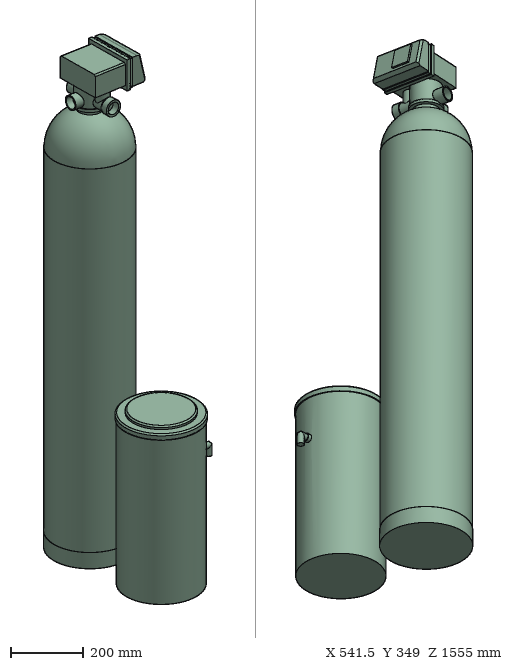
import cadquery as cq
BASE_DIA = 258.0
BASE_HEIGHT = 51.0
SHELL_DIA = 257.0
DOME_DIA = 255.0
DOME_Z = 1260.0
NECK_DIA = 76.0

HEAD_ANGLE = 8.0
FLANGE_DIA = 100.0
FLANGE_Z = 1395.0
FLANGE_THICKNESS = 10.0
VALVE_DIA = 92.0
PORT_DIA = 45.0
PORT_BORE_DIA = 37.0
PORT_BORE_DEPTH = 23.0
PORT_Z = 1424.0
SIDE_PORT_REACH = 75.0
FRONT_PORT_REACH = 70.0
TEE_LEG_DIA = 44.0
TEE_OFFSET = 55.0
TEE_PORT_REACH = 101.0
TEE_COLLAR_DIA = 51.0
TEE_COLLAR_LENGTH = 23.0

BOX_CENTER_X = 14.0
BOX_WIDTH = 151.0
BOX_FRONT_Y = -56.0
BOX_BACK_Y = 53.0
BOX_BOTTOM_Z = 1472.0
BOX_TOP_Z = 1543.0
BOX_CHAMFER = 5.0
HEAD_TOP_Z = 1555.0
PLATE_BOTTOM_Z = 1458.0
PLATE_WIDTH = 165.0
PLATE_THICKNESS = 12.0
SPACER_THICKNESS = 10.0
SPACER_INSET = 3.0
HOUSING_WIDTH = 162.0
HOUSING_BOTTOM_Z = 1464.0
BEVEL_START_Y = 90.0
FACE_TOP_Y = 106.0
FACE_TOP_Z = 1553.0
FACE_BOTTOM_Y = 125.0
FACE_BOTTOM_Z = 1473.0
FACE_SIDE_CHAMFER = 6.0
UNDERSIDE_END_Y = 114.0
WINDOW_LEFT_X = -35.0
WINDOW_WIDTH = 56.0
WINDOW_BOTTOM_Z = 1483.0
WINDOW_TOP_Z = 1545.0
WINDOW_RAISE = 6.0

BRINE_X = 284.0
BRINE_Y = 55.0
BRINE_DIA = 250.0
LID_DIA = 257.0
LID_Z = 520.0
LID_THICKNESS = 19.0
LID_CHAMFER = 5.0
PANEL_DIA = 200.0
PANEL_HEIGHT = 11.0
PANEL_CHAMFER = 5.0

ELBOW_Z = 390.0
ELBOW_BOTTOM_Z = 360.0
ELBOW_REACH = 165.0
ELBOW_DIA = 20.0
ELBOW_CORNER_CUT = 8.0
COLLAR_DIA = 25.0
COLLAR_LENGTH = 11.0


def upright(dia, z_bottom, z_top, x=0, y=0):
    """Vertical cylinder between two heights."""
    return cq.Workplane("XY", origin=(x, y, z_bottom)).circle(dia / 2).extrude(z_top - z_bottom)


def along_x(dia, x_start, x_end, z):
    """Cylinder parallel to X."""
    return cq.Workplane("YZ", origin=(x_start, 0, z)).circle(dia / 2).extrude(x_end - x_start)


def along_y(dia, y_start, y_end, x, z):
    """Cylinder parallel to Y."""
    return cq.Workplane("XZ", origin=(x, y_start, z)).circle(dia / 2).extrude(y_start - y_end)


def block(width, y_start, y_end, z_bottom, z_top):
    """Block centred across the control box."""
    return (
        cq.Workplane("XY", origin=(BOX_CENTER_X, (y_start + y_end) / 2, z_bottom))
        .rect(width, y_end - y_start)
        .extrude(z_top - z_bottom)
    )


def make_tank_shell():
    base = upright(BASE_DIA, 0, BASE_HEIGHT)
    shell = upright(SHELL_DIA, BASE_HEIGHT, DOME_Z)
    dome = cq.Workplane("XY", origin=(0, 0, DOME_Z)).sphere(DOME_DIA / 2)
    neck = upright(NECK_DIA, DOME_Z, FLANGE_Z)
    return base.union(shell).union(dome).union(neck)


def make_valve_body():
    """Round valve body with three ports and a tee leg, on the tank flange."""
    flange_top = FLANGE_Z + FLANGE_THICKNESS
    side_bore_end = PORT_BORE_DEPTH - SIDE_PORT_REACH
    front_bore_end = PORT_BORE_DEPTH - FRONT_PORT_REACH
    tee_bore_start = TEE_PORT_REACH - PORT_BORE_DEPTH
    collar_start = TEE_PORT_REACH - TEE_COLLAR_LENGTH

    body = upright(FLANGE_DIA, FLANGE_Z, flange_top)
    body = body.union(upright(VALVE_DIA, flange_top, BOX_BOTTOM_Z))
    body = body.union(upright(TEE_LEG_DIA, PORT_Z, BOX_BOTTOM_Z, x=TEE_OFFSET))
    body = body.union(along_x(PORT_DIA, -SIDE_PORT_REACH, TEE_PORT_REACH, PORT_Z))
    body = body.union(along_x(TEE_COLLAR_DIA, collar_start, TEE_PORT_REACH, PORT_Z))
    body = body.union(along_y(PORT_DIA, -FRONT_PORT_REACH, 0, 0, PORT_Z))

    body = body.cut(along_x(PORT_BORE_DIA, -SIDE_PORT_REACH, side_bore_end, PORT_Z))
    body = body.cut(along_x(PORT_BORE_DIA, tee_bore_start, TEE_PORT_REACH, PORT_Z))
    return body.cut(along_y(PORT_BORE_DIA, -FRONT_PORT_REACH, front_bore_end, 0, PORT_Z))


def face_y(z):
    """Local Y of the sloped display face at a height."""
    slope = (FACE_BOTTOM_Y - FACE_TOP_Y) / (FACE_TOP_Z - FACE_BOTTOM_Z)
    return FACE_TOP_Y + slope * (FACE_TOP_Z - z)


def make_display_housing(start_y):
    """Housing with a sloped face, bevelled edges and a raised window."""
    housing = (
        cq.Workplane("YZ", origin=(BOX_CENTER_X - HOUSING_WIDTH / 2, 0, 0))
        .polyline([
            (start_y, HOUSING_BOTTOM_Z),
            (UNDERSIDE_END_Y, HOUSING_BOTTOM_Z),
            (FACE_BOTTOM_Y, FACE_BOTTOM_Z),
            (FACE_TOP_Y, FACE_TOP_Z),
            (BEVEL_START_Y, HEAD_TOP_Z),
            (start_y, HEAD_TOP_Z),
        ])
        .close()
        .extrude(HOUSING_WIDTH)
    )
    face_direction = cq.Vector(0, FACE_TOP_Y - FACE_BOTTOM_Y, FACE_TOP_Z - FACE_BOTTOM_Z)
    face_sides = cq.selectors.ParallelDirSelector(face_direction)
    housing = housing.edges(face_sides).chamfer(FACE_SIDE_CHAMFER)

    window = (
        cq.Workplane("YZ", origin=(WINDOW_LEFT_X, 0, 0))
        .polyline([
            (BEVEL_START_Y, WINDOW_BOTTOM_Z),
            (face_y(WINDOW_BOTTOM_Z) + WINDOW_RAISE, WINDOW_BOTTOM_Z),
            (face_y(WINDOW_TOP_Z) + WINDOW_RAISE, WINDOW_TOP_Z),
            (BEVEL_START_Y, WINDOW_TOP_Z),
        ])
        .close()
        .extrude(WINDOW_WIDTH)
    )
    return housing.union(window)


def make_control_box():
    """Cover box, back plate, inset spacer and display housing, front to back."""
    spacer_y = BOX_BACK_Y + PLATE_THICKNESS
    housing_y = spacer_y + SPACER_THICKNESS
    spacer_width = PLATE_WIDTH - 2 * SPACER_INSET
    spacer_bottom = PLATE_BOTTOM_Z + SPACER_INSET
    spacer_top = HEAD_TOP_Z - SPACER_INSET

    box = block(BOX_WIDTH, BOX_FRONT_Y, BOX_BACK_Y, BOX_BOTTOM_Z, BOX_TOP_Z)
    box = box.faces(">Z").edges("|Y").chamfer(BOX_CHAMFER)
    box = box.union(block(PLATE_WIDTH, BOX_BACK_Y, spacer_y, PLATE_BOTTOM_Z, HEAD_TOP_Z))
    box = box.union(block(spacer_width, spacer_y, housing_y, spacer_bottom, spacer_top))
    return box.union(make_display_housing(housing_y))


def make_resin_tank():
    head = make_valve_body().union(make_control_box())
    head = head.rotate((0, 0, 0), (0, 0, 1), HEAD_ANGLE)
    return make_tank_shell().union(head)


def make_overflow_elbow():
    """Mitred tube with a wall collar, turning down into a drop leg."""
    outer_y = BRINE_Y + ELBOW_REACH
    outer_z = ELBOW_Z + ELBOW_DIA / 2
    leg_y = outer_y - ELBOW_DIA / 2
    collar_end_y = BRINE_Y + BRINE_DIA / 2 + COLLAR_LENGTH

    arm = along_y(ELBOW_DIA, BRINE_Y, leg_y, BRINE_X, ELBOW_Z)
    leg = upright(ELBOW_DIA, ELBOW_BOTTOM_Z, ELBOW_Z, BRINE_X, leg_y)
    corner = along_y(ELBOW_DIA, BRINE_Y, outer_y, BRINE_X, ELBOW_Z).intersect(
        upright(ELBOW_DIA, ELBOW_BOTTOM_Z, outer_z, BRINE_X, leg_y)
    )
    corner_cut = (
        cq.Workplane("YZ", origin=(BRINE_X - ELBOW_DIA / 2, 0, 0))
        .polyline([
            (outer_y, outer_z),
            (outer_y - ELBOW_CORNER_CUT, outer_z),
            (outer_y, outer_z - ELBOW_CORNER_CUT),
        ])
        .close()
        .extrude(ELBOW_DIA)
    )
    elbow = arm.union(leg).union(corner).cut(corner_cut)
    return elbow.union(along_y(COLLAR_DIA, BRINE_Y, collar_end_y, BRINE_X, ELBOW_Z))


def make_brine_tank():
    lid_top = LID_Z + LID_THICKNESS
    lid = upright(LID_DIA, LID_Z, lid_top, BRINE_X, BRINE_Y)
    panel = upright(PANEL_DIA, lid_top, lid_top + PANEL_HEIGHT, BRINE_X, BRINE_Y)
    tank = upright(BRINE_DIA, 0, LID_Z, BRINE_X, BRINE_Y)
    tank = tank.union(lid.faces(">Z").edges().chamfer(LID_CHAMFER))
    tank = tank.union(panel.faces(">Z").edges().chamfer(PANEL_CHAMFER))
    return tank.union(make_overflow_elbow())


resin_tank = make_resin_tank()
brine_tank = make_brine_tank()
result = cq.Compound.makeCompound([resin_tank.val(), brine_tank.val()])